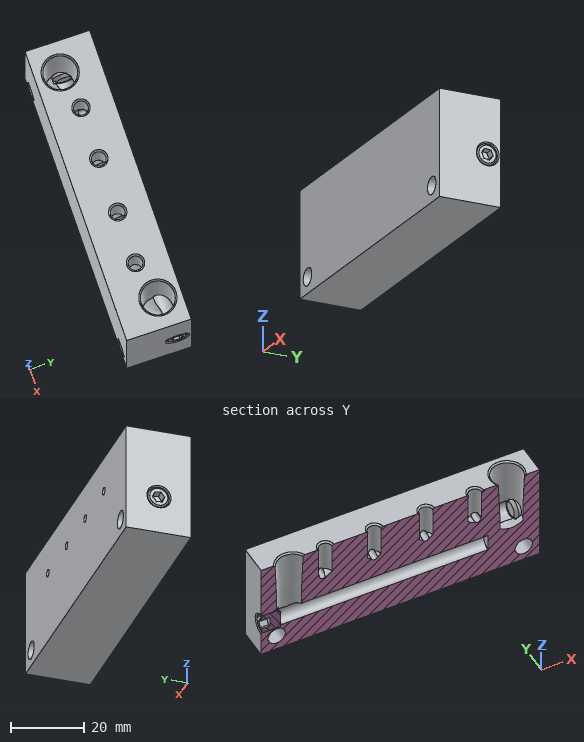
import cadquery as cq
import math

LENGTH = 85.725
WIDTH = 18.67
HEIGHT = 31.75
DRILL_POINT_ANGLE = 118.0

MOUNT_DIAMETER = 5.16
MOUNT_X = 38.0
MOUNT_Z = 4.9

PORT_MOUTH_DIAMETER = 10.4
PORT_THREAD_DIAMETER = 9.5
PORT_DRILL_DIAMETER = 8.7
PORT_THREAD_DEPTH = 12.0
PORT_X = 34.2
EXHAUST_PORT_Y = -2.15
SUPPLY_PORT_Y = 2.6

GALLERY_DIAMETER = 5.16
GALLERY_STOP_X = 27.0
EXHAUST_GALLERY_Y = -0.1
EXHAUST_GALLERY_Z = 11.2
SUPPLY_GALLERY_Y = 5.3
SUPPLY_GALLERY_Z = 15.0
EXHAUST_TIP_BELOW_GALLERY = 2.35
SUPPLY_TIP_BELOW_GALLERY = 2.85

PLUG_DIAMETER = 6.2
PLUG_RECESS = 0.15
PLUG_OUTER_CHAMFER = 0.5
PLUG_INNER_CHAMFER = 0.95
PLUG_BORE_DEPTH = 6.15
PLUG_MOUTH_DIAMETER = 6.9
HEX_ACROSS_FLATS = 3.0
HEX_DEPTH = 2.5
HEX_TURN = 7.0

OUTLET_MOUTH_DIAMETER = 5.0
OUTLET_DRILL_DIAMETER = 4.0
OUTLET_TIP_Z = 20.5
CROSS_DIAMETER = 2.05
CROSS_ABOVE_TIP = 0.9
CROSS_Z = OUTLET_TIP_Z + CROSS_ABOVE_TIP
CROSS_PAST_CENTRE = 0.25
INNER_OUTLET_X = 7.94
OUTER_OUTLET_X = 23.0
INNER_CROSS_X = INNER_OUTLET_X
OUTER_CROSS_X = 23.8

LEFT = -1
RIGHT = 1


def drill_point_height(diameter):
    return diameter / 2 / math.tan(math.radians(DRILL_POINT_ANGLE / 2))


def chamfer_depth(mouth_diameter, bore_diameter):
    """Depth of a 45 degree countersink."""
    return (mouth_diameter - bore_diameter) / 2


def revolved_about_z(profile, x, y):
    """Solid of revolution about a vertical axis, from (radius, z) points."""
    return cq.Workplane("XZ").polyline(profile).close().revolve(360, (0, 0), (0, 1)).translate((x, y, 0))


def cylinder_along_x(diameter, start, end, y, z):
    return cq.Workplane("YZ", origin=(start, y, z)).circle(diameter / 2).extrude(end - start)


def large_port(x, y, tip_z):
    mouth_z = HEIGHT - chamfer_depth(PORT_MOUTH_DIAMETER, PORT_THREAD_DIAMETER)
    profile = [
        (0, tip_z),
        (PORT_DRILL_DIAMETER / 2, tip_z + drill_point_height(PORT_DRILL_DIAMETER)),
        (PORT_DRILL_DIAMETER / 2, HEIGHT - PORT_THREAD_DEPTH),
        (PORT_THREAD_DIAMETER / 2, mouth_z),
        (PORT_MOUTH_DIAMETER / 2, HEIGHT),
        (0, HEIGHT),
    ]
    return revolved_about_z(profile, x, y)


def outlet_port(x):
    mouth_z = HEIGHT - chamfer_depth(OUTLET_MOUTH_DIAMETER, OUTLET_DRILL_DIAMETER)
    profile = [
        (0, OUTLET_TIP_Z),
        (OUTLET_DRILL_DIAMETER / 2, OUTLET_TIP_Z + drill_point_height(OUTLET_DRILL_DIAMETER)),
        (OUTLET_DRILL_DIAMETER / 2, mouth_z),
        (OUTLET_MOUTH_DIAMETER / 2, HEIGHT),
        (0, HEIGHT),
    ]
    return revolved_about_z(profile, x, 0)


def cross_drilling(x):
    """Small hole from the +Y face to just past the middle of an outlet port."""
    start = cq.Workplane("XZ", origin=(x, WIDTH / 2, CROSS_Z))
    return start.circle(CROSS_DIAMETER / 2).extrude(WIDTH / 2 + CROSS_PAST_CENTRE)


def gallery(side, y, z):
    """Gallery drilled from one end face, with a wider countersunk bore for its plug."""
    face_x = side * LENGTH / 2
    bore = cylinder_along_x(PLUG_DIAMETER, face_x, face_x - side * PLUG_BORE_DEPTH, y, z)
    passage = cylinder_along_x(GALLERY_DIAMETER, face_x, -side * GALLERY_STOP_X, y, z)
    countersink = cq.Workplane(
        cq.Solid.makeCone(
            PLUG_MOUTH_DIAMETER / 2,
            PLUG_DIAMETER / 2,
            chamfer_depth(PLUG_MOUTH_DIAMETER, PLUG_DIAMETER),
            cq.Vector(face_x, y, z),
            cq.Vector(-side, 0, 0),
        )
    )
    return bore.union(passage).union(countersink)


def make_block():
    block = cq.Workplane("XY").box(LENGTH, WIDTH, HEIGHT, centered=(True, True, False))
    for side in (LEFT, RIGHT):
        mount = cq.Workplane("XZ", origin=(side * MOUNT_X, 0, MOUNT_Z))
        block = block.cut(mount.circle(MOUNT_DIAMETER / 2).extrude(WIDTH, both=True))
        block = block.cut(outlet_port(side * INNER_OUTLET_X)).cut(outlet_port(side * OUTER_OUTLET_X))
        block = block.cut(cross_drilling(side * INNER_CROSS_X)).cut(cross_drilling(side * OUTER_CROSS_X))
    block = block.cut(gallery(LEFT, EXHAUST_GALLERY_Y, EXHAUST_GALLERY_Z))
    block = block.cut(gallery(RIGHT, SUPPLY_GALLERY_Y, SUPPLY_GALLERY_Z))
    block = block.cut(large_port(-PORT_X, EXHAUST_PORT_Y, EXHAUST_GALLERY_Z - EXHAUST_TIP_BELOW_GALLERY))
    return block.cut(large_port(PORT_X, SUPPLY_PORT_Y, SUPPLY_GALLERY_Z - SUPPLY_TIP_BELOW_GALLERY))


def make_plug(side, y, z):
    """Hex socket plug closing the end of a gallery."""
    face_x = side * LENGTH / 2
    outer_x = face_x - side * PLUG_RECESS
    inner_x = face_x - side * PLUG_BORE_DEPTH
    plug = cylinder_along_x(PLUG_DIAMETER, outer_x, inner_x, y, z)
    outer_end, inner_end = ("<X", ">X") if side == LEFT else (">X", "<X")
    plug = plug.faces(outer_end).chamfer(PLUG_OUTER_CHAMFER)
    plug = plug.faces(inner_end).chamfer(PLUG_INNER_CHAMFER)
    hex_corner_diameter = HEX_ACROSS_FLATS / math.cos(math.pi / 6)
    socket = (
        cq.Workplane("YZ", origin=(outer_x, y, z))
        .transformed(rotate=(0, 0, -HEX_TURN))
        .polygon(6, hex_corner_diameter)
        .extrude(-side * HEX_DEPTH)
    )
    return plug.cut(socket)


block = make_block()
exhaust_plug = make_plug(LEFT, EXHAUST_GALLERY_Y, EXHAUST_GALLERY_Z)
supply_plug = make_plug(RIGHT, SUPPLY_GALLERY_Y, SUPPLY_GALLERY_Z)

result = cq.Compound.makeCompound([block.val(), exhaust_plug.val(), supply_plug.val()])